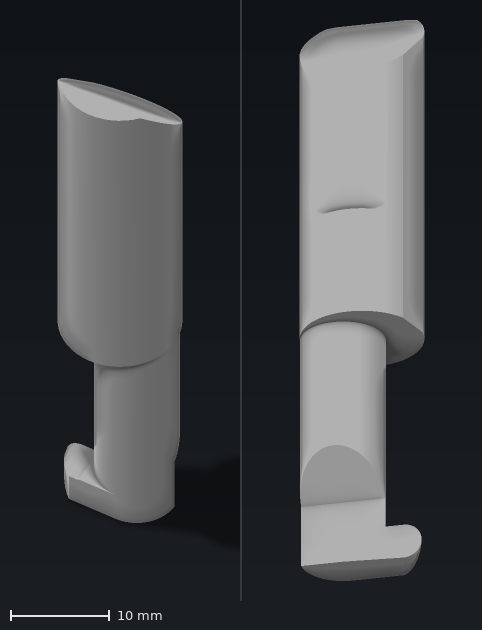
import cadquery as cq
import math

total_length = 63.4
shank_radius = 6.35
shank_bottom = 25.4
rim_chamfer_width = 0.6
rim_chamfer_height = 0.25
end_flat_edge = -4.45
side_flat_half_angle = 18.0

notch_top = 45.9
notch_bottom = 37.05
notch_floor_z = 38.05
notch_floor_y = 5.1
notch_corner_radius = 0.95

neck_radius = 4.4
neck_x = shank_radius - neck_radius
neck_bottom = 0.25
rake_cut_top = 7.0

tip_x = -6.2
tip_height = 3.75
heel_x = -3.5
relief_radius = 8.9
heel_shift = 1.0
shoulder_top = 3.9

CUT_SIZE = 3 * shank_radius


def prism_along_x(points):
    """Extrude a (Y, Z) outline right across the part."""
    return cq.Workplane("YZ").polyline(points).close().extrude(CUT_SIZE, both=True)


def make_shank():
    shank = (
        cq.Workplane("XY")
        .workplane(offset=shank_bottom)
        .circle(shank_radius)
        .extrude(total_length - shank_bottom)
    )
    shank = shank.faces(">Z").chamfer(rim_chamfer_height, rim_chamfer_width)

    end_cut = prism_along_x([
        (end_flat_edge, total_length),
        (end_flat_edge + CUT_SIZE, total_length - CUT_SIZE),
        (end_flat_edge + CUT_SIZE, total_length),
    ])

    flat_distance = shank_radius * math.cos(math.radians(side_flat_half_angle))
    side_flat = (
        cq.Workplane("XY")
        .box(CUT_SIZE, CUT_SIZE, 2 * total_length)
        .translate((flat_distance + CUT_SIZE / 2, 0, 0))
        .rotate((0, 0, 0), (0, 0, 1), 180 - side_flat_half_angle)
    )
    return shank.cut(end_cut).cut(side_flat).cut(make_notch())


def make_notch():
    """Sloping clamping notch with a rounded lower corner."""
    rounded_corner = (
        cq.Workplane("YZ")
        .moveTo(shank_radius, notch_top)
        .lineTo(notch_floor_y, notch_floor_z)
        .radiusArc((notch_floor_y + notch_corner_radius, notch_bottom), -notch_corner_radius)
        .lineTo(shank_radius, notch_bottom)
        .close()
    )
    return rounded_corner.extrude(CUT_SIZE, both=True)


def make_neck():
    neck = (
        cq.Workplane("XY")
        .workplane(offset=neck_bottom)
        .center(neck_x, 0)
        .circle(neck_radius)
        .extrude(shank_bottom - neck_bottom)
    )
    rake_cut = prism_along_x([
        (0, -0.65),
        (0, rake_cut_top),
        (CUT_SIZE, rake_cut_top + CUT_SIZE),
        (CUT_SIZE, -0.65),
    ])
    return neck.cut(rake_cut)


def nose_profile(plane, nose_x, bottom):
    """Half-round nose whose sides run straight back to the neck centre."""
    nose_radius = (tip_height - bottom) / 2
    return (
        plane.moveTo(neck_x, neck_bottom)
        .lineTo(nose_x + nose_radius, bottom)
        .threePointArc((nose_x, bottom + nose_radius), (nose_x + nose_radius, tip_height))
        .lineTo(neck_x, tip_height)
        .close()
    )


def make_head():
    rake_profile = nose_profile(cq.Workplane("XZ"), tip_x, 0)
    front_plane = rake_profile.workplane(offset=neck_radius, origin=(0, 0, 0))
    head = nose_profile(front_plane, tip_x + heel_shift, neck_bottom).loft(ruled=True)

    envelope = (
        cq.Workplane("XY")
        .moveTo(tip_x, 0)
        .radiusArc((heel_x, -neck_radius), -relief_radius)
        .lineTo(neck_x, -neck_radius)
        .lineTo(neck_x, 0)
        .close()
        .extrude(shoulder_top)
    )
    head = head.intersect(envelope)

    shoulder = (
        cq.Workplane("XY")
        .workplane(offset=neck_bottom)
        .moveTo(neck_x - neck_radius, -neck_radius)
        .lineTo(neck_x, -neck_radius)
        .lineTo(neck_x, 0)
        .lineTo(neck_x - neck_radius, 0)
        .close()
        .extrude(shoulder_top - neck_bottom)
    )
    return head.union(shoulder)


result = make_shank().union(make_neck()).union(make_head())